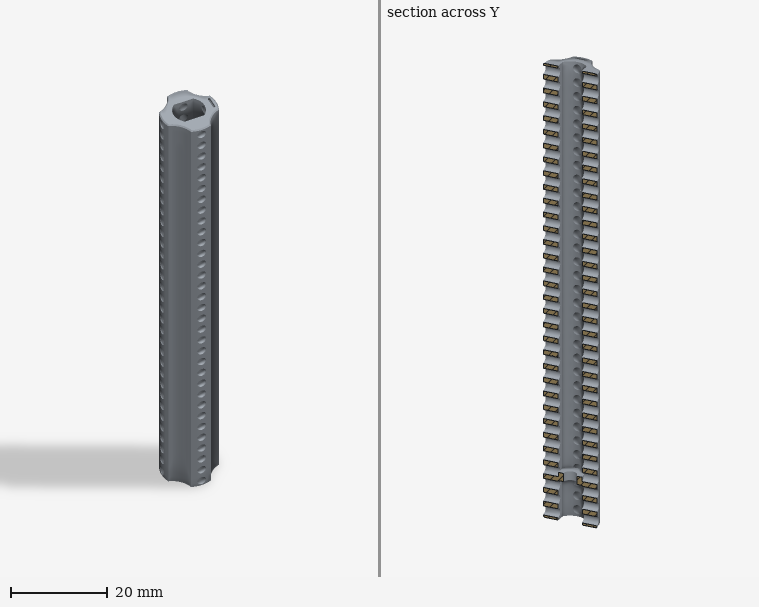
import cadquery as cq
import math

length = 103.1
outer_radius = 6.24
lobe_half_width = 2.3
flute_radius = 5.2
end_chamfer = 0.26

bore_radius = 3.5
bore_flat_width = 5.5

holes_per_row = 33
hole_diameter = 2.0
hole_pitch = length / holes_per_row

holes_below_web = 3
web_top = (holes_below_web + 0.5) * hole_pitch
web_thickness = 2.0
web_hole_diameter = 3.0

marker_length = 3.0
marker_width = 0.5
marker_depth = 0.5
marker_offset = 5.2


def lobed_body():
    """Four convex lobes joined by concave flutes."""
    shoulder = math.sqrt(outer_radius**2 - lobe_half_width**2)
    chord_middle = (shoulder + lobe_half_width) / math.sqrt(2)
    half_chord = (shoulder - lobe_half_width) / math.sqrt(2)
    flute_sag = flute_radius - math.sqrt(flute_radius**2 - half_chord**2)
    flute_bottom = chord_middle - flute_sag

    def turned(point, quarter):
        x, y = point
        for _ in range(quarter):
            x, y = -y, x
        return (x, y)

    flute_middle = (flute_bottom / math.sqrt(2), flute_bottom / math.sqrt(2))
    outline = cq.Workplane("XY").moveTo(shoulder, -lobe_half_width)
    for quarter in range(4):
        lobe_tip = turned((outer_radius, 0), quarter)
        lobe_end = turned((shoulder, lobe_half_width), quarter)
        next_lobe = turned((lobe_half_width, shoulder), quarter)
        outline = outline.threePointArc(lobe_tip, lobe_end)
        outline = outline.threePointArc(turned(flute_middle, quarter), next_lobe)
    body = outline.close().extrude(length)
    return body.faces("<Z or >Z").chamfer(end_chamfer)


def bore_prism(height):
    """Solid with the bore's cross-section, standing on Z = 0."""
    round_bore = cq.Workplane("XY").circle(bore_radius).extrude(height)
    flats = cq.Workplane("XY").rect(bore_flat_width, 2 * bore_radius).extrude(height)
    return round_bore.intersect(flats)


def cross_holes(plane):
    """One row of holes running right through the tube."""
    row = [(0, (index + 0.5) * hole_pitch) for index in range(holes_per_row)]
    return cq.Workplane(plane).pushPoints(row).circle(hole_diameter / 2).extrude(outer_radius, both=True)


def web():
    """Plate filling the bore, with a central hole."""
    plate = bore_prism(web_thickness).translate((0, 0, web_top - web_thickness))
    return plate.faces(">Z").workplane(origin=(0, 0, web_top)).hole(web_hole_diameter)


def marker_slot():
    """Round-ended cutter reaching up to the top face."""
    slot_plane = cq.Workplane("XY", origin=(0, marker_offset, length - marker_depth))
    return slot_plane.slot2D(marker_length, marker_width).extrude(marker_depth)


tube = lobed_body().cut(bore_prism(length))
for plane in ("XZ", "YZ"):
    tube = tube.cut(cross_holes(plane))

result = tube.union(web()).cut(marker_slot())